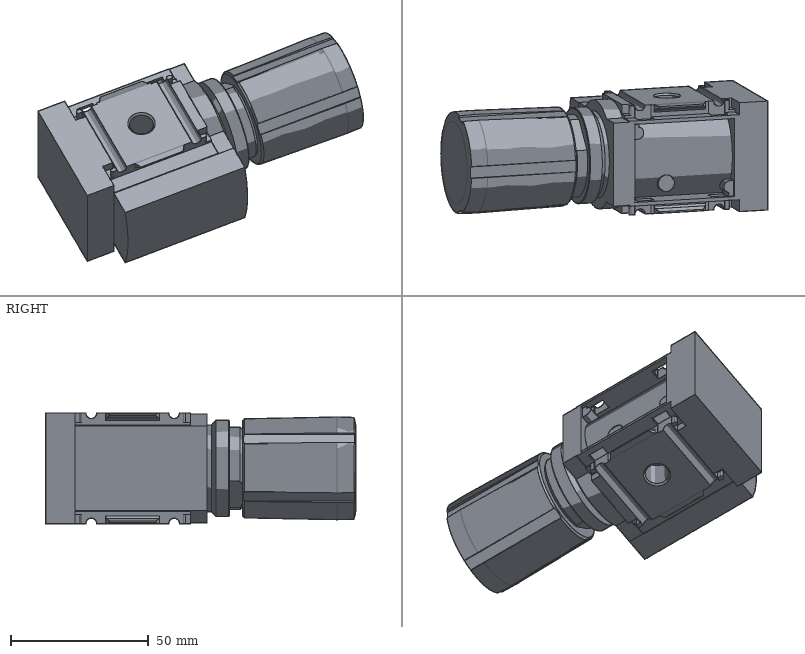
import cadquery as cq


HOUSING_WIDTH = 42.0
HOUSING_HEIGHT = 40.2
TOTAL_LENGTH = 112.53
BASE_Y = -31.6
WAIST_HALF_LENGTH = 20.9
WAIST_HEIGHT = 31.4
COLLAR_TOP_Y = 27.0
COLLAR_HEIGHT = 30.7
COLLAR_DIAMETER = 39.6

PLATE_WIDTH = 30.5
GROOVE_Y = 15.0
GROOVE_WIDTH = 3.8
GROOVE_DEPTH = 2.0
PORT_DIAMETER = 8.57
PORT_MOUTH_DIAMETER = 9.9
PORT_DEPTH = 12.0

NOTCH_INNER_X = 11.5
NOTCH_INNER_Y = 17.1
NOTCH_FLOOR_Z = 16.7
FINGER_WIDTH = 1.45
FINGER_END_Y = 19.1
FINGER_ROUNDING = 0.6

LIP_REACH = 2.15
LIP_EMBEDDING = 1.0
LIP_ROOT_HALF_LENGTH = 9.8
LIP_TIP_HALF_LENGTH = 8.4
LIP_TOP_DROP = 0.4
LIP_TIP_THICKNESS = 0.6
LIP_BEND_REACH = 0.5
LIP_BEND_DROP = 1.9
LIP_ROOT_DROP = 2.75

WINDOW_LENGTH = 37.8
WINDOW_HEIGHT = 28.8
BARREL_RADIUS = 18.6
PIN_DIAMETER = 6.1
PIN_Y = 6.0
PIN_Z = -8.6
PIN_FACE_X = -18.0
LUG_FACE_X = -20.0
LUG_Y = 17.5
LUG_Z = 10.9
LUG_DIAMETER = 4.5

SLOT_OUTER_X = -18.7
SLOT_INNER_X = -14.8
SLOT_INNER_Y = 10.9
SLOT_OUTER_Y = 17.1

NECK_RADIUS = 31.6 / 2
NECK_END_Y = 28.6
RING_RADIUS = 35.0 / 2
RING_START_Y = 30.2
RING_END_Y = 35.0
RING_CHAMFER = 0.3
NUT_RADIUS = 15.0
NUT_TIP_RADIUS = 28.38 / 2
NUT_CHAMFER_LENGTH = 1.0
NUT_ACROSS_FLATS = 26.75
NUT_FLAT_ANGLE = 135.0

KNOB_START_Y = 39.85
KNOB_END_Y = BASE_Y + TOTAL_LENGTH
KNOB_BOTTOM_RADIUS = 18.0
KNOB_BOTTOM_CHAMFER = 0.7
KNOB_RADIUS = 18.65
KNOB_TAPER_END_Y = 74.1
KNOB_SHOULDER_Y = 80.2
KNOB_SHOULDER_RADIUS = 18.5
KNOB_RIM_Y = 80.6
KNOB_RIM_RADIUS = 17.1
KNOB_FACE_RADIUS = 15.1
KNOB_GROOVES = 5
KNOB_GROOVE_WIDTH = 4.3
KNOB_GROOVE_DEPTH = 1.0
KNOB_GROOVE_PHASE = 37.0

GAUGE_HEIGHT = COLLAR_HEIGHT
GAUGE_EDGE_X = 30.6
GAUGE_CROWN_X = 33.0

HALF_WIDTH = HOUSING_WIDTH / 2
HALF_HEIGHT = HOUSING_HEIGHT / 2
HALF_PLATE = PLATE_WIDTH / 2


def block(x_range, y_range, z_range):
    """Box between the given limits along X, Y and Z."""
    size = [high - low for low, high in (x_range, y_range, z_range)]
    corner = (x_range[0], y_range[0], z_range[0])
    return cq.Workplane("XY").box(*size, centered=False).translate(corner)


def centred_block(width, y_range, height):
    """Box centred on the knob axis."""
    return block((-width / 2, width / 2), y_range, (-height / 2, height / 2))


def cylinder_along_y(radius, y_range):
    """Cylinder on the knob axis."""
    return cq.Workplane("XZ", origin=(0, y_range[0], 0)).circle(radius).extrude(y_range[0] - y_range[1])


def mirrored(shape, plane):
    """The shape together with its mirror image."""
    return shape.union(shape.mirror(plane))


def make_lip():
    """Lip on the +X side of the top plate, with a sloping underside and bevelled ends."""
    root_x = HALF_PLATE
    tip_x = root_x + LIP_REACH
    tip_z = HALF_HEIGHT - LIP_TOP_DROP
    profile = (
        cq.Workplane("XZ", origin=(0, LIP_ROOT_HALF_LENGTH, 0))
        .moveTo(root_x - LIP_EMBEDDING, HALF_HEIGHT)
        .lineTo(root_x, HALF_HEIGHT)
        .lineTo(tip_x, tip_z)
        .lineTo(tip_x, tip_z - LIP_TIP_THICKNESS)
        .lineTo(root_x + LIP_BEND_REACH, HALF_HEIGHT - LIP_BEND_DROP)
        .lineTo(root_x, HALF_HEIGHT - LIP_ROOT_DROP)
        .lineTo(root_x - LIP_EMBEDDING, HALF_HEIGHT - LIP_ROOT_DROP)
        .close()
        .extrude(2 * LIP_ROOT_HALF_LENGTH)
    )
    outline = (
        cq.Workplane("XY")
        .moveTo(root_x - LIP_EMBEDDING, -LIP_ROOT_HALF_LENGTH)
        .lineTo(root_x, -LIP_ROOT_HALF_LENGTH)
        .lineTo(tip_x, -LIP_TIP_HALF_LENGTH)
        .lineTo(tip_x, LIP_TIP_HALF_LENGTH)
        .lineTo(root_x, LIP_ROOT_HALF_LENGTH)
        .lineTo(root_x - LIP_EMBEDDING, LIP_ROOT_HALF_LENGTH)
        .close()
        .extrude(HALF_HEIGHT)
    )
    return profile.intersect(outline)


def make_notch():
    """Notch cut from the +X, +Y corner of the top plate, leaving a rounded finger."""
    notch = block(
        (NOTCH_INNER_X, HALF_PLATE),
        (NOTCH_INNER_Y, WAIST_HALF_LENGTH),
        (NOTCH_FLOOR_Z, HALF_HEIGHT),
    )
    finger = block(
        (HALF_PLATE - FINGER_WIDTH, HALF_PLATE),
        (NOTCH_INNER_Y, FINGER_END_Y),
        (NOTCH_FLOOR_Z, HALF_HEIGHT),
    )
    finger = finger.edges("|Z and >Y").fillet(FINGER_ROUNDING)
    return notch.cut(finger)


def make_groove(y):
    """Round-bottomed groove across the top plate."""
    radius = GROOVE_WIDTH / 2
    floor_z = HALF_HEIGHT - GROOVE_DEPTH
    return (
        cq.Workplane("YZ", origin=(-HALF_PLATE, 0, 0))
        .moveTo(y - radius, HALF_HEIGHT)
        .threePointArc((y, floor_z), (y + radius, HALF_HEIGHT))
        .close()
        .extrude(PLATE_WIDTH)
    )


def make_port():
    """Blind port with a chamfered mouth, sunk into the top plate."""
    port_radius = PORT_DIAMETER / 2
    mouth_radius = PORT_MOUTH_DIAMETER / 2
    return (
        cq.Workplane("XZ")
        .moveTo(0, HALF_HEIGHT)
        .lineTo(mouth_radius, HALF_HEIGHT)
        .lineTo(port_radius, HALF_HEIGHT - (mouth_radius - port_radius))
        .lineTo(port_radius, HALF_HEIGHT - PORT_DEPTH)
        .lineTo(0, HALF_HEIGHT - PORT_DEPTH)
        .close()
        .revolve(360, (0, 0, 0), (0, 1, 0))
    )


def make_plate():
    """Top port plate, resting on the waist."""
    plate = block(
        (-HALF_PLATE, HALF_PLATE),
        (-WAIST_HALF_LENGTH, WAIST_HALF_LENGTH),
        (0, HALF_HEIGHT),
    )
    plate = plate.union(mirrored(make_lip(), "YZ"))
    plate = plate.cut(mirrored(mirrored(make_notch(), "YZ"), "XZ"))
    for y in (-GROOVE_Y, GROOVE_Y):
        plate = plate.cut(make_groove(y))
    return plate


def make_lug():
    """Lug in the upper +Y corner of the window, rounded towards the window."""
    window_y = WINDOW_LENGTH / 2
    window_z = WINDOW_HEIGHT / 2
    lug_radius = LUG_DIAMETER / 2
    x_range = (LUG_FACE_X, 0)
    lug = cq.Workplane("YZ", origin=(LUG_FACE_X, 0, 0)).center(LUG_Y, LUG_Z).circle(lug_radius)
    lug = lug.extrude(-LUG_FACE_X)
    lug = lug.union(block(x_range, (LUG_Y, window_y), (LUG_Z - lug_radius, LUG_Z + lug_radius)))
    return lug.union(block(x_range, (SLOT_OUTER_Y, window_y), (LUG_Z, window_z)))


def make_window():
    """Space behind the -X window, around the barrel, the pin and the two lugs."""
    window_y = WINDOW_LENGTH / 2
    window_z = WINDOW_HEIGHT / 2
    window = block((-HALF_WIDTH, 0), (-window_y, window_y), (-window_z, window_z))
    window = window.cut(cylinder_along_y(BARREL_RADIUS, (-window_y, window_y)))
    pin = cq.Workplane("YZ", origin=(PIN_FACE_X, 0, 0)).center(PIN_Y, PIN_Z).circle(PIN_DIAMETER / 2)
    window = window.cut(pin.extrude(-PIN_FACE_X))
    lug = make_lug()
    window = window.cut(lug)
    return window.cut(lug.rotate((0, 0, 0), (1, 0, 0), 180))


def make_slots():
    """Slots through the ledges above and below the window."""
    slot = block(
        (SLOT_OUTER_X, SLOT_INNER_X),
        (SLOT_INNER_Y, SLOT_OUTER_Y),
        (WINDOW_HEIGHT / 2, HALF_HEIGHT),
    )
    return mirrored(mirrored(slot, "XZ"), "XY")


def make_neck():
    """Neck, ring and nut between the collar and the knob."""
    nut_tip_y = KNOB_START_Y
    neck = (
        cq.Workplane("XY")
        .moveTo(0, COLLAR_TOP_Y)
        .lineTo(NECK_RADIUS, COLLAR_TOP_Y)
        .lineTo(NECK_RADIUS, NECK_END_Y)
        .lineTo(RING_RADIUS, RING_START_Y)
        .lineTo(RING_RADIUS, RING_END_Y - RING_CHAMFER)
        .lineTo(RING_RADIUS - RING_CHAMFER, RING_END_Y)
        .lineTo(NUT_RADIUS, RING_END_Y)
        .lineTo(NUT_RADIUS, nut_tip_y - NUT_CHAMFER_LENGTH)
        .lineTo(NUT_TIP_RADIUS, nut_tip_y)
        .lineTo(0, nut_tip_y)
        .close()
        .revolve(360, (0, 0, 0), (0, 1, 0))
    )
    flat_distance = NUT_ACROSS_FLATS / 2
    flat = block(
        (flat_distance, NUT_RADIUS),
        (RING_END_Y, nut_tip_y),
        (-NUT_RADIUS, NUT_RADIUS),
    )
    for side in (0, 180):
        neck = neck.cut(flat.rotate((0, 0, 0), (0, 1, 0), side - NUT_FLAT_ANGLE))
    return neck


def make_knob():
    """Slightly tapered knob with lengthwise grooves."""
    knob = (
        cq.Workplane("XY")
        .moveTo(0, KNOB_START_Y)
        .lineTo(KNOB_BOTTOM_RADIUS - KNOB_BOTTOM_CHAMFER, KNOB_START_Y)
        .lineTo(KNOB_BOTTOM_RADIUS, KNOB_START_Y + KNOB_BOTTOM_CHAMFER)
        .lineTo(KNOB_RADIUS, KNOB_TAPER_END_Y)
        .lineTo(KNOB_SHOULDER_RADIUS, KNOB_SHOULDER_Y)
        .threePointArc((KNOB_RIM_RADIUS, KNOB_RIM_Y), (KNOB_FACE_RADIUS, KNOB_END_Y))
        .lineTo(0, KNOB_END_Y)
        .close()
        .revolve(360, (0, 0, 0), (0, 1, 0))
    )
    groove = block(
        (KNOB_RADIUS - KNOB_GROOVE_DEPTH, KNOB_RADIUS),
        (KNOB_START_Y, KNOB_END_Y),
        (-KNOB_GROOVE_WIDTH / 2, KNOB_GROOVE_WIDTH / 2),
    )
    for index in range(KNOB_GROOVES):
        angle = KNOB_GROOVE_PHASE + index * 360 / KNOB_GROOVES
        knob = knob.cut(groove.rotate((0, 0, 0), (0, 1, 0), -angle))
    return knob


def make_regulator():
    """Housing with its port plates, neck and knob."""
    waist_y = (-WAIST_HALF_LENGTH, WAIST_HALF_LENGTH)
    collar_y = (WAIST_HALF_LENGTH, COLLAR_TOP_Y)
    regulator = centred_block(HOUSING_WIDTH, waist_y, WAIST_HEIGHT)
    regulator = regulator.union(
        centred_block(HOUSING_WIDTH, (BASE_Y, -WAIST_HALF_LENGTH), HOUSING_HEIGHT)
    )
    regulator = regulator.union(centred_block(HOUSING_WIDTH, collar_y, COLLAR_HEIGHT))
    regulator = regulator.union(cylinder_along_y(COLLAR_DIAMETER / 2, collar_y))
    regulator = regulator.union(mirrored(make_plate(), "XY"))
    regulator = regulator.cut(mirrored(make_port(), "XY"))
    regulator = regulator.cut(make_window())
    regulator = regulator.cut(make_slots())
    return regulator.union(make_neck()).union(make_knob())


def make_gauge():
    """Gauge on the +X side of the housing, with a bowed face."""
    half_gauge = GAUGE_HEIGHT / 2
    return (
        cq.Workplane("XZ", origin=(0, -WAIST_HALF_LENGTH, 0))
        .moveTo(HALF_WIDTH, -half_gauge)
        .lineTo(GAUGE_EDGE_X, -half_gauge)
        .threePointArc((GAUGE_CROWN_X, 0), (GAUGE_EDGE_X, half_gauge))
        .lineTo(HALF_WIDTH, half_gauge)
        .close()
        .extrude(-(COLLAR_TOP_Y + WAIST_HALF_LENGTH))
    )


regulator = make_regulator()
gauge = make_gauge()
result = cq.Compound.makeCompound([regulator.val(), gauge.val()])